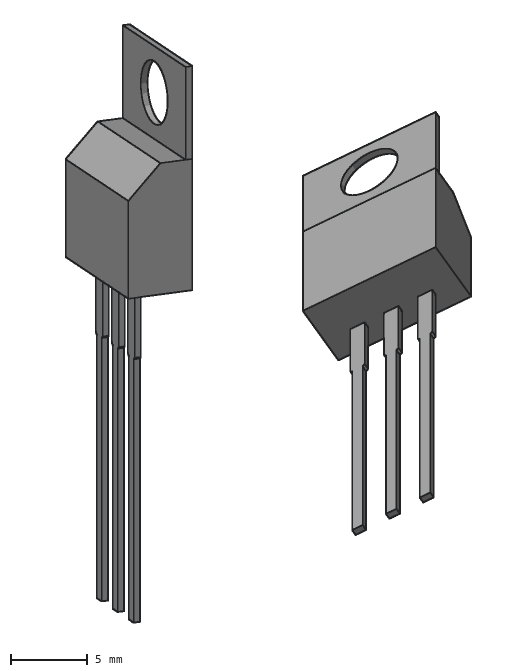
import cadquery as cq

total_height = 38.15
package_width = 10.03
package_depth = 4.58

tab_height = 6.35
tab_thickness = 0.5
tab_hole_diameter = 4.27

housing_height = 8.95
housing_chamfer = 2.3

lead_count = 3
lead_pitch = 2.55
lead_thickness = 0.45
lead_setback = 3.05
shoulder_width = 1.1
shoulder_length = 4.73
tip_width = 0.8

housing_top = total_height - tab_height
housing_bottom = housing_top - housing_height


def make_tab():
    """Flat plate with a mounting hole through its centre."""
    return (
        cq.Workplane("XY")
        .box(package_width, tab_thickness, tab_height, centered=(True, False, False))
        .translate((0, -tab_thickness, housing_top))
        .faces("<Y")
        .workplane(centerOption="CenterOfBoundBox")
        .hole(tab_hole_diameter)
    )


def make_housing():
    """Block with a large chamfer along its upper front edge."""
    return (
        cq.Workplane("XY")
        .box(package_width, package_depth, housing_height, centered=(True, False, False))
        .translate((0, -package_depth, housing_bottom))
        .edges("<Y and >Z")
        .chamfer(housing_chamfer)
    )


def make_lead(x):
    """Flat lead hanging from the housing, its wide shoulder tapering at 45 degrees to a narrow tip."""
    shoulder_end = housing_bottom - shoulder_length
    half_shoulder = shoulder_width / 2
    half_tip = tip_width / 2
    taper_end = shoulder_end - (half_shoulder - half_tip)
    return (
        cq.Workplane("XZ")
        .moveTo(half_shoulder, housing_bottom)
        .lineTo(half_shoulder, shoulder_end)
        .lineTo(half_tip, taper_end)
        .lineTo(half_tip, 0)
        .lineTo(0, 0)
        .lineTo(0, housing_bottom)
        .close()
        .extrude(lead_thickness / 2, both=True)
        .mirror("YZ", union=True)
        .clean()
        .translate((x, -lead_setback, 0))
    )


tab = make_tab()
housing = make_housing()
leads = []
for index in range(lead_count):
    lead_x = (index - (lead_count - 1) / 2) * lead_pitch
    leads.append(make_lead(lead_x).val())

result = cq.Compound.makeCompound([tab.val(), housing.val(), *leads])